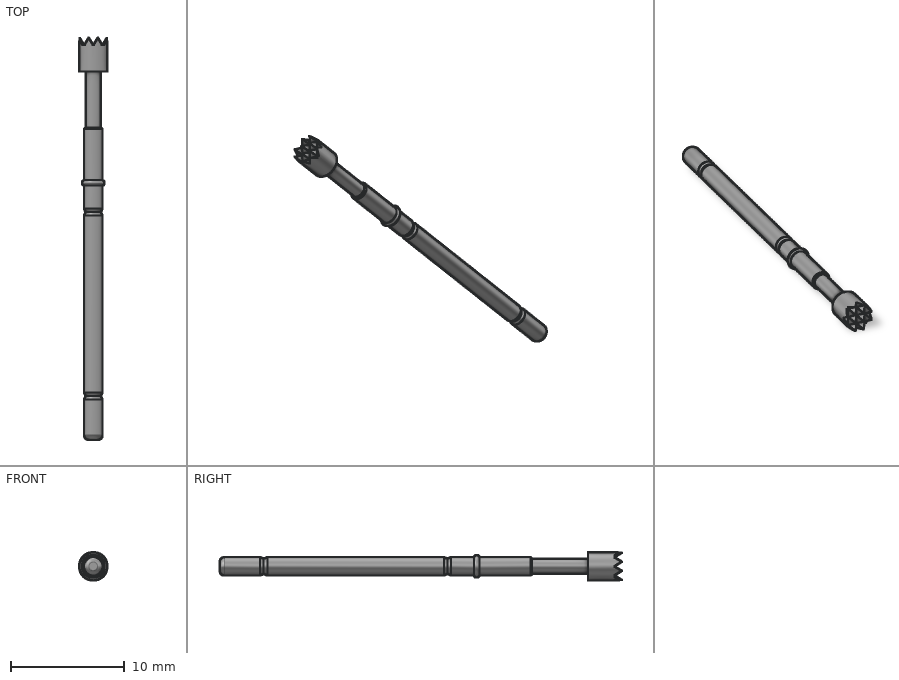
import cadquery as cq

total_length = 35.4

crown_diameter = 2.5
crown_length = 3.0
tooth_pitch = 0.8
tooth_depth = 0.66

plunger_diameter = 1.35

barrel_diameter = 1.65
barrel_length = 27.5
barrel_mouth_chamfer = 0.15
tail_flat_radius = 0.38

ring_diameter = 2.0
ring_width = 0.5
ring_position = 22.62

groove_positions = (3.88, 20.05)
groove_width = 0.64
groove_depth = 0.15

crown_radius = crown_diameter / 2
plunger_radius = plunger_diameter / 2
barrel_radius = barrel_diameter / 2
crown_base = total_length - crown_length
plunger_overlap = 1.0
plunger_start = barrel_length - plunger_overlap
tail_fillet = barrel_radius - tail_flat_radius


def revolve_about_y(profile):
    """Full turn of an XY profile about the Y axis."""
    return profile.revolve(360, (0, 0, 0), (0, 1, 0))


def rod(radius, start, end):
    """Solid cylinder on the Y axis between two stations."""
    return revolve_about_y(cq.Workplane("XY").moveTo(0, start).rect(radius, end - start, centered=False))


def make_barrel():
    """Round body with a chamfered mouth and a rounded tail."""
    barrel = rod(barrel_radius, 0, barrel_length)
    barrel = barrel.faces(">Y").edges().chamfer(barrel_mouth_chamfer)
    return barrel.faces("<Y").edges().fillet(tail_fillet)


def make_ring():
    """Rounded bead: straight sides closed by a half circle."""
    half_width = ring_width / 2
    ring_radius = ring_diameter / 2
    shoulder_radius = ring_radius - half_width
    profile = (
        cq.Workplane("XY")
        .moveTo(0, ring_position - half_width)
        .lineTo(shoulder_radius, ring_position - half_width)
        .threePointArc((ring_radius, ring_position), (shoulder_radius, ring_position + half_width))
        .lineTo(0, ring_position + half_width)
        .close()
    )
    return revolve_about_y(profile)


def make_groove(position):
    """V-shaped cutter ring."""
    half_width = groove_width / 2
    profile = (
        cq.Workplane("XY")
        .moveTo(barrel_radius, position - half_width)
        .lineTo(barrel_radius - groove_depth, position)
        .lineTo(barrel_radius, position + half_width)
        .close()
    )
    return revolve_about_y(profile)


def make_tooth_groove(offset):
    """V-shaped cutter running along Z across the crown face, offset in X."""
    half_width = tooth_pitch / 2
    profile = (
        cq.Workplane("XY")
        .moveTo(offset - half_width, total_length)
        .lineTo(offset, total_length - tooth_depth)
        .lineTo(offset + half_width, total_length)
        .close()
    )
    return profile.extrude(crown_radius, both=True)


def make_crown():
    """Head whose face is serrated by two crossed sets of V grooves."""
    crown = rod(crown_radius, crown_base, total_length)
    for offset in (-tooth_pitch, 0, tooth_pitch):
        groove_along_z = make_tooth_groove(offset)
        groove_along_x = groove_along_z.rotate((0, 0, 0), (0, 1, 0), 90)
        crown = crown.cut(groove_along_z).cut(groove_along_x)
    return crown


result = make_barrel()
result = result.union(rod(plunger_radius, plunger_start, crown_base))
result = result.union(make_crown())
result = result.union(make_ring())
for groove_position in groove_positions:
    result = result.cut(make_groove(groove_position))